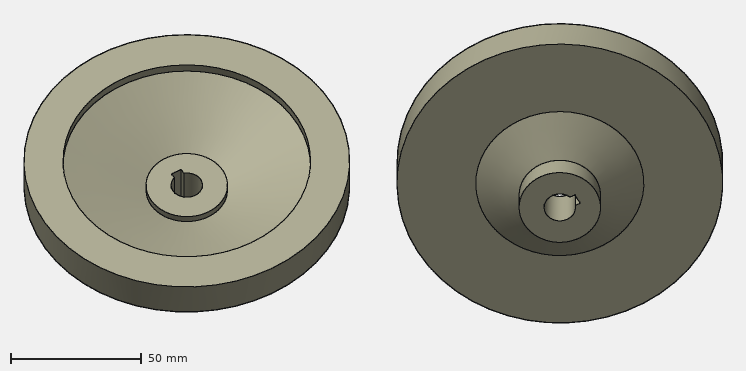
import cadquery as cq

rim_radius = 62.5
rim_height = 15.2
recess_radius = 47.5
recess_wall_depth = 3.8

total_height = 33.0
hub_radius = 15.6
hub_top_depth = 14.8
hub_step_height = 3.0

cone_foot_radius = 32.2
cone_bottom_depth = 23.9

bore_radius = 6.0
keyway_width = 4.2
keyway_reach = 7.8

rim_top = total_height
rim_bottom = rim_top - rim_height
hub_top = rim_top - hub_top_depth


def wheel_body():
    """Revolve the half section of rim, conical web and hub about Z."""
    half_section = [
        (0, 0),
        (hub_radius, 0),
        (hub_radius, rim_top - cone_bottom_depth),
        (cone_foot_radius, rim_bottom),
        (rim_radius, rim_bottom),
        (rim_radius, rim_top),
        (recess_radius, rim_top),
        (recess_radius, rim_top - recess_wall_depth),
        (hub_radius, hub_top - hub_step_height),
        (hub_radius, hub_top),
        (0, hub_top),
    ]
    return cq.Workplane("XZ").polyline(half_section).close().revolve(360, (0, 0), (0, 1))


def keyed_bore():
    """Through bore with one keyway on the -X side."""
    bore = cq.Workplane("XY").circle(bore_radius).extrude(hub_top)
    keyway = (
        cq.Workplane("XY")
        .center(-keyway_reach / 2, 0)
        .rect(keyway_reach, keyway_width)
        .extrude(hub_top)
    )
    return bore.union(keyway)


result = wheel_body().cut(keyed_bore())